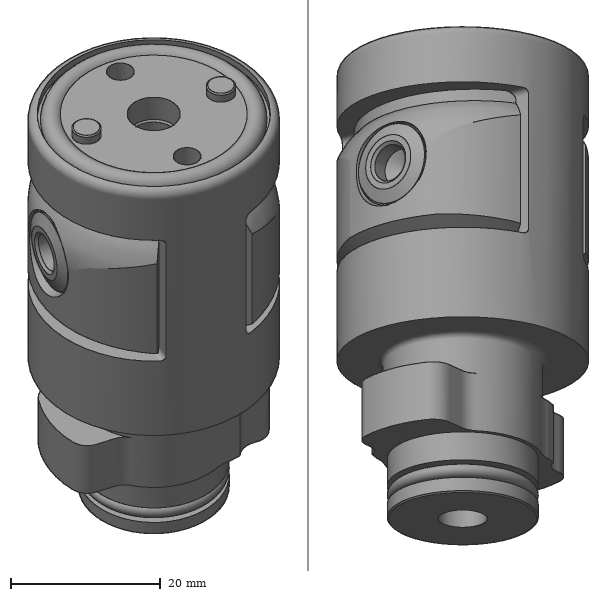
import cadquery as cq
import math

sleeve_diameter = 33.6
sleeve_radius = sleeve_diameter / 2
sleeve_bottom = 22.45
sleeve_top = 64.2
rim_fillet = 1.25

plate_top = 64.1
bead_centre_radius = 13.6
bead_section_radius = 1.5
bead_height = 63.1
rim_inner_radius = sleeve_radius - rim_fillet

pin_circle_radius = 10.0
pin_radius = 1.95
pin_top = 65.5
pin_chamfer = 0.2
blind_hole_radius = 1.85
blind_hole_depth = 3.3
bore_radius = 3.3
bore_mouth_radius = 3.55
bore_mouth_depth = 3.8
drill_tip_half_angle = math.radians(59)

stem_radius = 10.7
stem_bottom = 8.6
stem_fillet = 0.8
spigot_radius = 10.1
spigot_chamfer = 0.2
groove_bottom = 2.1
groove_top = 4.6
groove_floor_radius = 8.5
ring_section_radius = 0.9
ring_height = (groove_bottom + groove_top) / 2

lug_top = 16.75
lug_radius = 15.5
lug_side = 7.0
lug_corner_radius = 2.8
lug_root_radius = 3.0
lug_step_side = 9.05
lug_step_tip = 8.65
lug_step_front = 8.6
lug_step_root_radius = 5.05

window_bottom = 35.2
window_top = 56.0
window_floor = 5.95
window_corner_radius = 0.85

pad_axis_offset = 2.6
pad_front = 16.55
pad_neck_front = 13.5
pad_radius = pad_front + pad_axis_offset
pad_neck_radius = pad_neck_front + pad_axis_offset
pad_neck_bottom = 54.35
pad_lip = 0.2
pad_shoulder_height = 47.7
pad_shoulder_radius = 8.5
pad_chamfer_top = 37.25
pad_corner_radius = 1.45
pad_floor_half_width = 13.55
pad_end_slope = 0.67

plug_height = 46.0
plug_face = 16.3
plug_face_radius = 3.8
plug_edge = 15.6
plug_radius = 5.55
recess_floor = 15.3
recess_floor_radius = 5.75
recess_mouth_radius = 6.2
plug_hole_radius = 2.55
plug_hole_mouth_radius = 2.95
plug_hole_depth = 2.6

overshoot = 13.1


def make_core():
    """Turned body: spigot with sealing ring, stem, sleeve, bead and top plate."""
    half = math.sqrt(0.5)
    ring_centre = spigot_radius - ring_section_radius
    ring_foot = math.sqrt(ring_section_radius**2 - (ring_centre - groove_floor_radius) ** 2)
    bead_outer = bead_centre_radius + bead_section_radius
    bead_top = (bead_centre_radius, bead_height + bead_section_radius)
    bead_foot = math.sqrt(bead_section_radius**2 - (plate_top - bead_height) ** 2)
    rim_mid = (
        rim_inner_radius + rim_fillet * half,
        sleeve_top - rim_fillet * (1 - half),
    )
    root_mid = (
        stem_radius + stem_fillet * (1 - half),
        sleeve_bottom - stem_fillet * (1 - half),
    )
    return (
        cq.Workplane("XZ")
        .moveTo(0, 0)
        .lineTo(spigot_radius - spigot_chamfer, 0)
        .lineTo(spigot_radius, spigot_chamfer)
        .lineTo(spigot_radius, groove_bottom)
        .lineTo(groove_floor_radius, groove_bottom)
        .lineTo(groove_floor_radius, ring_height - ring_foot)
        .threePointArc((spigot_radius, ring_height), (groove_floor_radius, ring_height + ring_foot))
        .lineTo(groove_floor_radius, groove_top)
        .lineTo(spigot_radius, groove_top)
        .lineTo(spigot_radius, stem_bottom)
        .lineTo(stem_radius, stem_bottom)
        .lineTo(stem_radius, sleeve_bottom - stem_fillet)
        .threePointArc(root_mid, (stem_radius + stem_fillet, sleeve_bottom))
        .lineTo(sleeve_radius, sleeve_bottom)
        .lineTo(sleeve_radius, sleeve_top - rim_fillet)
        .threePointArc(rim_mid, (rim_inner_radius, sleeve_top))
        .lineTo(rim_inner_radius, bead_height)
        .lineTo(bead_outer, bead_height)
        .threePointArc(bead_top, (bead_centre_radius - bead_foot, plate_top))
        .lineTo(0, plate_top)
        .close()
        .revolve(360, (0, 0), (0, 1))
    )


def root_fillet(side, radius):
    """Y of the fillet centre and its touching point on the stem, for a side at x = side."""
    centre_x = side + radius
    centre_y = math.sqrt((stem_radius + radius) ** 2 - centre_x**2)
    scale = stem_radius / (stem_radius + radius)
    return centre_y, (centre_x * scale, centre_y * scale)


def make_lug():
    """Lug on the +Y side; its stepped flank lies on +X."""
    corner_x = lug_side - lug_corner_radius
    corner_y = math.sqrt((lug_radius - lug_corner_radius) ** 2 - corner_x**2)
    scale = lug_radius / (lug_radius - lug_corner_radius)
    tip = (corner_x * scale, corner_y * scale)
    plain_y, plain_foot = root_fillet(lug_side, lug_root_radius)
    step_y, step_foot = root_fillet(lug_step_side, lug_step_root_radius)
    flank_reach = lug_root_radius - (lug_step_tip - lug_side)
    flank_y = lug_step_front + math.sqrt(lug_root_radius**2 - flank_reach**2)
    return (
        cq.Workplane("XY", origin=(0, 0, stem_bottom))
        .moveTo(0, 0)
        .lineTo(*step_foot)
        .radiusArc((lug_step_side, step_y), lug_step_root_radius)
        .lineTo(lug_step_tip, lug_step_front)
        .radiusArc((lug_side, flank_y), lug_root_radius)
        .lineTo(lug_side, corner_y)
        .radiusArc(tip, -lug_corner_radius)
        .threePointArc((0, lug_radius), (-tip[0], tip[1]))
        .radiusArc((-lug_side, corner_y), -lug_corner_radius)
        .lineTo(-lug_side, plain_y)
        .radiusArc((-plain_foot[0], plain_foot[1]), lug_root_radius)
        .close()
        .extrude(lug_top - stem_bottom)
    )


def window_block(corner_radius):
    """Block on the +Y side filling a window, rounded along its two inner edges."""
    return (
        cq.Workplane("XY")
        .box(
            2 * (sleeve_radius + overshoot),
            sleeve_radius + overshoot - window_floor,
            window_top - window_bottom,
            centered=(True, False, False),
        )
        .translate((0, window_floor, window_bottom))
        .edges("|X and <Y")
        .fillet(corner_radius)
    )


def make_pad():
    """Domed pad on the +Y side."""
    lip_radius = pad_neck_radius + pad_lip
    arc_centre = pad_radius - pad_shoulder_radius
    arc_rise = math.sqrt(pad_shoulder_radius**2 - (lip_radius - arc_centre) ** 2)
    dome_top = pad_shoulder_height + arc_rise
    turned = (
        cq.Workplane("XZ")
        .moveTo(0, window_bottom)
        .lineTo(pad_neck_radius, window_bottom)
        .lineTo(pad_radius, pad_chamfer_top)
        .lineTo(pad_radius, pad_shoulder_height)
        .radiusArc((lip_radius, dome_top), -pad_shoulder_radius)
        .lineTo(pad_neck_radius, pad_neck_bottom)
        .lineTo(pad_neck_radius, window_top)
        .lineTo(0, window_top)
        .close()
        .revolve(360, (0, 0), (0, 1))
        .translate((0, -pad_axis_offset, 0))
    )
    envelope = cq.Workplane("XY").circle(sleeve_radius).extrude(sleeve_top)
    far = sleeve_radius + overshoot
    end_y = window_floor + (far - pad_floor_half_width) * pad_end_slope
    sector = (
        cq.Workplane("XY")
        .polyline(
            [
                (-pad_floor_half_width, window_floor),
                (pad_floor_half_width, window_floor),
                (far, end_y),
                (far, far),
                (-far, far),
                (-far, end_y),
            ]
        )
        .close()
        .extrude(sleeve_top)
    )
    return turned.intersect(envelope).intersect(sector).intersect(window_block(pad_corner_radius))


def turned_about_nozzle(outline):
    """Revolve (radius, y) points about the nozzle axis, which runs along Y."""
    return (
        cq.Workplane("XY")
        .polyline(outline)
        .close()
        .revolve(360, (0, 0), (0, 1))
        .translate((0, 0, plug_height))
    )


def add_nozzle(pad):
    """Sink a tapered recess into the pad and fit the plug with its drilled hole."""
    recess_slope = (recess_mouth_radius - recess_floor_radius) / (pad_front - recess_floor)
    outer_y = sleeve_radius + overshoot
    outer_radius = recess_floor_radius + recess_slope * (outer_y - recess_floor)
    recess = turned_about_nozzle(
        [(0, recess_floor), (recess_floor_radius, recess_floor), (outer_radius, outer_y), (0, outer_y)]
    )
    plug = turned_about_nozzle(
        [
            (0, recess_floor),
            (plug_radius, recess_floor),
            (plug_radius, plug_edge),
            (plug_face_radius, plug_face),
            (0, plug_face),
        ]
    )
    mouth_depth = plug_hole_mouth_radius - plug_hole_radius
    hole_end = plug_face - plug_hole_depth
    hole = turned_about_nozzle(
        [
            (0, plug_face),
            (plug_hole_mouth_radius, plug_face),
            (plug_hole_radius, plug_face - mouth_depth),
            (plug_hole_radius, hole_end),
            (0, hole_end - plug_hole_radius / math.tan(drill_tip_half_angle)),
        ]
    )
    return pad.cut(recess).union(plug).cut(hole)


def make_bore():
    """Central through bore, slightly wider at its mouth."""
    step = plate_top - bore_mouth_depth
    taper = bore_mouth_radius - bore_radius
    return (
        cq.Workplane("XZ")
        .polyline(
            [
                (0, 0),
                (bore_radius, 0),
                (bore_radius, step - taper),
                (bore_mouth_radius, step),
                (bore_mouth_radius, plate_top),
                (0, plate_top),
            ]
        )
        .close()
        .revolve(360, (0, 0), (0, 1))
    )


def make_blind_hole():
    """Drilled hole with a conical tip, on the +X side of the plate."""
    end = plate_top - blind_hole_depth
    tip = end - blind_hole_radius / math.tan(drill_tip_half_angle)
    outline = [(0, plate_top), (blind_hole_radius, plate_top), (blind_hole_radius, end), (0, tip)]
    return (
        cq.Workplane("XZ")
        .polyline(outline)
        .close()
        .revolve(360, (0, 0), (0, 1))
        .translate((pin_circle_radius, 0, 0))
    )


def make_pin():
    """Pin on the +Y side, rooted inside the plate."""
    return (
        cq.Workplane("XY", origin=(0, pin_circle_radius, bead_height))
        .circle(pin_radius)
        .extrude(pin_top - bead_height)
        .faces(">Z")
        .chamfer(pin_chamfer)
    )


window = window_block(window_corner_radius)
pad = add_nozzle(make_pad())
lug = make_lug()
pin = make_pin()
blind_hole = make_blind_hole()

result = make_core()
for turn in (0, 180):
    result = result.cut(window.rotate((0, 0, 0), (0, 0, 1), turn))
    for feature in (pad, lug, pin):
        result = result.union(feature.rotate((0, 0, 0), (0, 0, 1), turn))
    result = result.cut(blind_hole.rotate((0, 0, 0), (0, 0, 1), turn))
result = result.cut(make_bore())